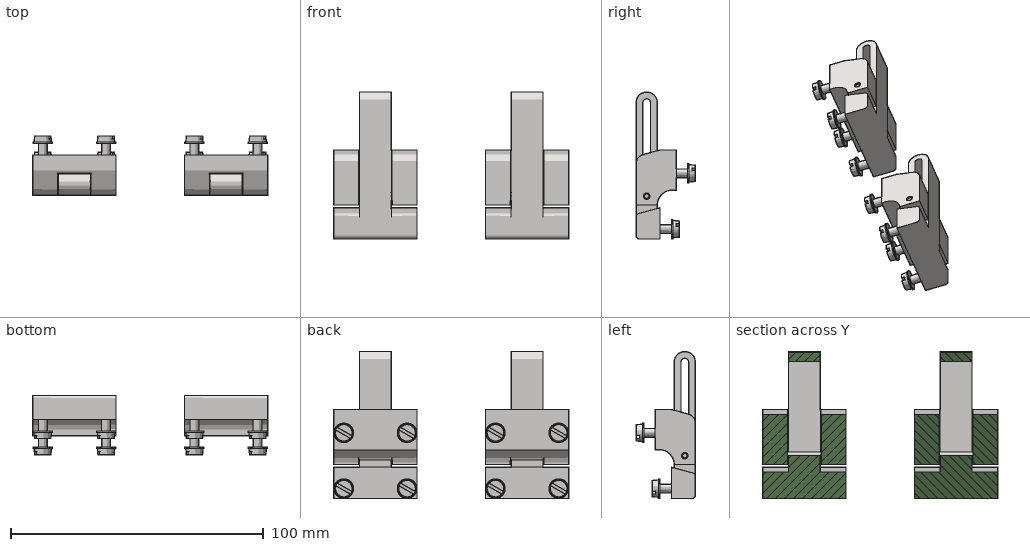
import cadquery as cq
import math

TOTAL_LENGTH = 93.0
CLAMP_WIDTH = 33.0
CLAMP_PITCH = TOTAL_LENGTH - CLAMP_WIDTH
SLOPE = math.tan(math.radians(15.0))

ARM_HEIGHT = 58.2
ARM_WIDTH = 12.65
ARM_DEPTH = 8.5
ARM_RADIUS = ARM_DEPTH / 2
SLOT_WIDTH = 3.0

BASE_DEPTH = 9.6
BASE_HEIGHT = 12.5
BASE_EDGE_RADIUS = 1.5

HOUSING_DEPTH = 16.0
HOUSING_TOP = 35.3
HOUSING_BACK_BOTTOM = 19.3
HOUSING_BOTTOM = 13.5
HOUSING_LIP_DEPTH = ARM_DEPTH
HOUSING_FLAT_EDGE = 9.7
HOUSING_FRONT_RADIUS = 4.0
ARM_CLEARANCE = 0.3

PIN_Z = 17.0
PIN_DIAMETER = 2.5
PIN_END_CHAMFER = 0.4
PIN_RECESS_DEPTH = 0.4

SCREW_INSET = 4.0
UPPER_SCREW_Z = 26.0
SHANK_DIAMETER = 3.5
SHANK_LENGTH = 4.5
FLANGE_DIAMETER = 7.7
FLANGE_THICKNESS = 0.6
HEAD_DIAMETER = 7.0
HEAD_TAPER = 5.0
SCREW_LENGTH = 7.5
HEAD_LENGTH = SCREW_LENGTH - SHANK_LENGTH - FLANGE_THICKNESS
DRIVE_WIDTH = 1.2
DRIVE_DEPTH = 1.3
DRIVE_ANGLE = 30.0


def bar(outline, width):
    """Extrude a YZ outline to the given width, centred on X = 0."""
    return outline.extrude(width / 2, both=True)


def cylinder_x(diameter, length):
    """Cylinder on the pin axis, centred on X = 0."""
    circle = cq.Workplane("YZ", origin=(0, ARM_RADIUS, PIN_Z)).circle(diameter / 2)
    return bar(circle, length)


def make_arm():
    round_z = ARM_HEIGHT - ARM_RADIUS
    outline = (
        cq.Workplane("YZ")
        .lineTo(0, round_z)
        .threePointArc((ARM_RADIUS, ARM_HEIGHT), (ARM_DEPTH, round_z))
        .lineTo(ARM_DEPTH, 0)
        .close()
    )
    slot_length = round_z - PIN_Z + SLOT_WIDTH
    slot = (
        cq.Workplane("YZ", origin=(0, ARM_RADIUS, (round_z + PIN_Z) / 2))
        .slot2D(slot_length, SLOT_WIDTH, 90)
    )
    return bar(outline, ARM_WIDTH).cut(bar(slot, ARM_WIDTH))


def make_base():
    outline = cq.Workplane("YZ").polyline([
        (0, 0),
        (BASE_DEPTH, 0),
        (BASE_DEPTH, BASE_HEIGHT),
        (0, BASE_HEIGHT - BASE_DEPTH * SLOPE),
    ]).close()
    base = bar(outline, CLAMP_WIDTH)
    return base.edges("|X").edges("<Y").edges(">Z").fillet(BASE_EDGE_RADIUS)


def make_tee():
    """Arm and base in one piece, rounded along the whole front lower edge."""
    tee = make_arm().union(make_base())
    return tee.edges("|X").edges("<Z").edges("<Y").fillet(BASE_EDGE_RADIUS)


def make_housing():
    cove_radius = HOUSING_BACK_BOTTOM - HOUSING_BOTTOM
    cove_y = HOUSING_LIP_DEPTH + cove_radius
    cove_mid = cove_radius * math.sqrt(0.5)
    outline = (
        cq.Workplane("YZ")
        .moveTo(0, HOUSING_BOTTOM)
        .lineTo(HOUSING_LIP_DEPTH, HOUSING_BOTTOM)
        .threePointArc(
            (cove_y - cove_mid, HOUSING_BOTTOM + cove_mid),
            (cove_y, HOUSING_BACK_BOTTOM),
        )
        .lineTo(HOUSING_DEPTH, HOUSING_BACK_BOTTOM)
        .lineTo(HOUSING_DEPTH, HOUSING_TOP)
        .lineTo(HOUSING_FLAT_EDGE, HOUSING_TOP)
        .lineTo(0, HOUSING_TOP - HOUSING_FLAT_EDGE * SLOPE)
        .close()
    )
    block = bar(outline, CLAMP_WIDTH)
    housing = block.edges("|X").edges("<Y").edges(">Z").fillet(HOUSING_FRONT_RADIUS)
    channel = cq.Workplane("XY").box(
        ARM_WIDTH + 2 * ARM_CLEARANCE,
        ARM_DEPTH + ARM_CLEARANCE,
        HOUSING_TOP,
        centered=(True, False, False),
    )
    return housing.cut(channel)


def make_pin():
    """Pin whose thicker middle fills the rounded lower end of the arm slot."""
    length = CLAMP_WIDTH - 2 * PIN_RECESS_DEPTH
    shaft = cylinder_x(PIN_DIAMETER, length).faces("<X or >X").chamfer(PIN_END_CHAMFER)
    channel_width = ARM_WIDTH + 2 * ARM_CLEARANCE
    return shaft.union(cylinder_x(SLOT_WIDTH, channel_width))


def make_screw(x, y, z):
    """Screw pointing along +Y, with its shank starting on the face at y."""
    screw = (
        cq.Workplane("XZ")
        .circle(SHANK_DIAMETER / 2).extrude(-SHANK_LENGTH)
        .faces(">Y").workplane()
        .circle(FLANGE_DIAMETER / 2).extrude(FLANGE_THICKNESS)
        .faces(">Y").workplane()
        .circle(HEAD_DIAMETER / 2).extrude(HEAD_LENGTH, taper=HEAD_TAPER)
    )
    drive = (
        cq.Workplane("XY")
        .box(FLANGE_DIAMETER, DRIVE_DEPTH, DRIVE_WIDTH)
        .translate((0, SCREW_LENGTH - DRIVE_DEPTH / 2, 0))
        .rotate((0, 0, 0), (0, 1, 0), -DRIVE_ANGLE)
    )
    return screw.cut(drive).translate((x, y, z))


def make_clamp():
    pin_hole = cylinder_x(PIN_DIAMETER, CLAMP_WIDTH)
    housing = make_housing().cut(pin_hole)
    clamp = make_tee().union(make_pin()).union(housing)
    screw_x = CLAMP_WIDTH / 2 - SCREW_INSET
    for x in (-screw_x, screw_x):
        clamp = clamp.union(make_screw(x, HOUSING_DEPTH, UPPER_SCREW_Z))
        clamp = clamp.union(make_screw(x, BASE_DEPTH, SCREW_INSET))
    return clamp


clamp = make_clamp()
clamps = [clamp.translate((x, 0, 0)).val() for x in (-CLAMP_PITCH / 2, CLAMP_PITCH / 2)]
result = cq.Compound.makeCompound(clamps)